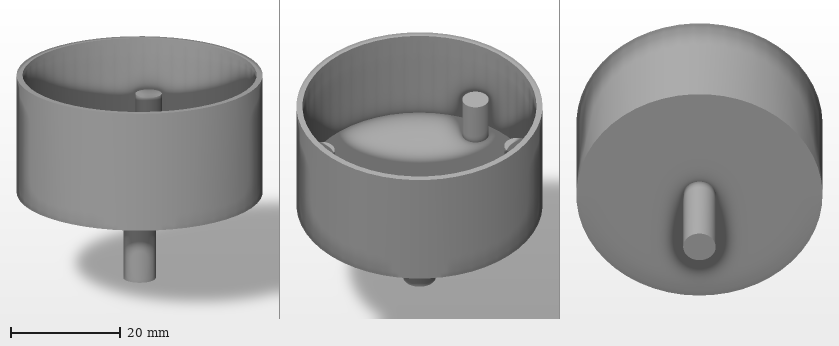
import cadquery as cq

cup_diameter = 45.0
bore_diameter = 42.8
cup_height = 22.5
floor_thickness = 5.0

stem_diameter = 5.95
stem_length = 16.5

pin_diameter = 4.8
pin_height = 8.0
pin_spacing_x = 16.0
pin_spacing_y = 2 * pin_spacing_x


def make_cup():
    """Round cup, open at the top, with its underside at Z = 0."""
    body = cq.Workplane("XY").circle(cup_diameter / 2).extrude(cup_height)
    bore = (
        cq.Workplane("XY", origin=(0, 0, floor_thickness))
        .circle(bore_diameter / 2)
        .extrude(cup_height - floor_thickness)
    )
    return body.cut(bore)


def make_stem():
    """Stem hanging from the centre of the underside."""
    return cq.Workplane("XY").circle(stem_diameter / 2).extrude(-stem_length)


def make_pins():
    """Pins at the corners of a rectangle centred on the cup axis."""
    return (
        cq.Workplane("XY", origin=(0, 0, floor_thickness))
        .rect(pin_spacing_x, pin_spacing_y, forConstruction=True)
        .vertices()
        .circle(pin_diameter / 2)
        .extrude(pin_height)
    )


result = make_cup().union(make_stem()).union(make_pins())